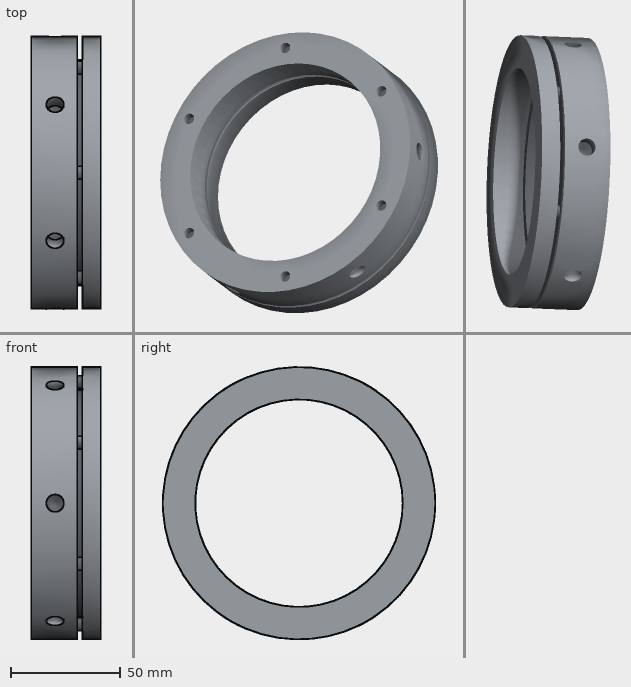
import cadquery as cq
import math

outer_radius = 62.5
bore_radius = 47.5
total_width = 32.0

rim_width = 21.2
flange_width = 8.5
neck_radius = 51.9
gap_width = total_width - rim_width - flange_width

inner_groove_start = 17.0
inner_groove_width = 3.0
inner_groove_radius = 52.5

pin_count = 6
pin_circle_radius = 55.5
pin_diameter = 6.0
access_hole_diameter = 5.0
access_hole_depth = 5.0
pin_length = rim_width + gap_width - access_hole_depth

radial_hole_count = 6
radial_hole_diameter = 8.0
radial_hole_depth = 8.0
radial_hole_x = 11.0
drill_point_angle = 118.0


def tube(start, width, radius, hole_radius):
    """Tube around the X axis, starting at x = start."""
    return cq.Workplane("YZ", origin=(start, 0, 0)).circle(radius).circle(hole_radius).extrude(width)


def pin_cylinders(start, length, diameter):
    """Cylinders along X, evenly spaced on the pin circle, the first in the XZ plane."""
    return (
        cq.Workplane("YZ", origin=(start, 0, 0))
        .polarArray(pin_circle_radius, 90, 360, pin_count)
        .circle(diameter / 2)
        .extrude(length)
    )


def drill_cutter(angle):
    """Drill with a conical point, aimed at the X axis from the given angle about it."""
    radius = radial_hole_diameter / 2
    point_length = radius / math.tan(math.radians(drill_point_angle / 2))
    shoulder = outer_radius - radial_hole_depth
    profile = [
        (0, shoulder - point_length),
        (radius, shoulder),
        (radius, outer_radius),
        (0, outer_radius),
    ]
    cutter = cq.Workplane("XY").polyline(profile).close().revolve(360, (0, 0, 0), (0, 1, 0))
    return cutter.translate((radial_hole_x, 0, 0)).rotate((0, 0, 0), (1, 0, 0), angle)


def make_pins():
    return pin_cylinders(access_hole_depth, pin_length, pin_diameter)


def make_ring():
    ring = tube(0, total_width, outer_radius, bore_radius)
    ring = ring.cut(tube(rim_width, gap_width, outer_radius, neck_radius))
    ring = ring.cut(tube(inner_groove_start, inner_groove_width, inner_groove_radius, bore_radius))
    ring = ring.cut(pin_cylinders(0, access_hole_depth, access_hole_diameter))
    ring = ring.cut(make_pins())
    for index in range(radial_hole_count):
        ring = ring.cut(drill_cutter(index * 360 / radial_hole_count))
    return ring


ring = make_ring()
pins = make_pins()

result = cq.Compound.makeCompound([ring.val(), *pins.vals()])